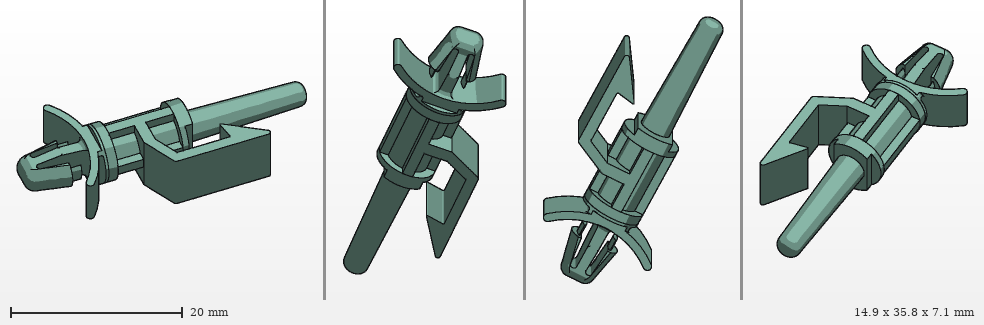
import cadquery as cq
import math

JOINT_Y = 9.65
TOTAL_LENGTH = 35.75
COLLAR_RADIUS = 7.1 / 2

LOWER_COLLAR_TOP = 10.83
UPPER_COLLAR_BOTTOM = 19.0
UPPER_COLLAR_STEP = 19.75
UPPER_COLLAR_TOP = 20.73
FLAT_HALF_WIDTH = 2.25

CORE_RADIUS = 2.5
RIB_HALF_THICKNESS = 0.65
RIB_REACH = 3.5

ROD_BASE_RADIUS = 1.85
ROD_TIP_RADIUS = 1.5
ROD_DOME_RADIUS = 1.0

ARM_HALF_WIDTH = COLLAR_RADIUS
ARM_ROOT_BOTTOM = 14.05
ARM_ROOT_TOP = 15.48
ARM_BEND_X = 3.57
ARM_INNER_X = 6.55
ARM_OUTER_X = 7.85
ARM_RISE = math.tan(math.radians(27.2))
ARM_ELBOW_RADIUS = 0.43
HOOK_POINT = (4.07, 23.25)
HOOK_UNDERSIDE_RISE = math.tan(math.radians(10.8))
HOOK_RAMP_RISE = math.tan(math.radians(57.0))
HOOK_TOP_RADIUS = 0.32
HOOK_POINT_RADIUS = 0.1
HOOK_CORNER_RADIUS = 0.15

DISC_BOTTOM = 9.3
SADDLE_HALF_WIDTH = 5.55 / 2
SADDLE_THICKNESS = 1.0
SADDLE_UNDERSIDE = 8.0
SADDLE_APEX = SADDLE_UNDERSIDE + SADDLE_THICKNESS / 2
SADDLE_END = (6.55, 6.08)
NECK_HALF_WIDTH = 2.65
NECK_FILLET = 0.2

STEM_TOP_HALF = 0.75
STEM_BOTTOM_HALF = 1.18 / 2
STEM_TOP_RADIUS = 2.1
STEM_MID_RADIUS = 2.3
STEM_MID_Y = 5.3
STEM_FILLET = 0.55
STEM_JOINT_BAND = 0.1

CLIP_HALF_WIDTH = 3.6 / 2
STEM_FLAT_BOTTOM = 2.1
FINGER_TOP = 5.33
FINGER_CORNER_X = 1.95 / 2
FINGER_BULGE = 0.9
FINGER_LEAN = math.tan(math.radians(12.0))
CLIP_DOME_RADIUS = 2.07
CLIP_TIP_FILLET = 1.07
SLOT_BOTTOM = 1.65
SLOT_BOTTOM_OUTER_X = 1.35
SLOT_OUTER_LEAN = math.tan(math.radians(5.8))
SLOT_FILLET = 0.35
POST_TOP = 6.75
POST_INNER_X = 1.7
POST_EDGE_X = 2.05
POST_OUTER_X = 2.3
POST_HALF_WIDTH = 1.18


def disc(radius, bottom, top):
    """Round plate on the Y axis between two heights."""
    return cq.Workplane("XZ", origin=(0, bottom, 0)).circle(radius).extrude(bottom - top)


def block(half_x, bottom, top, half_z):
    """Box centred on the Y axis between two heights."""
    return cq.Workplane("XY").box(2 * half_x, top - bottom, 2 * half_z).translate((0, (bottom + top) / 2, 0))


def plate(outline, half_width):
    """XY outline extruded equally to both sides of Z = 0."""
    return outline.extrude(half_width, both=True)


def mirrored_pair(shape):
    """A shape joined with its mirror image across X = 0."""
    return shape.union(shape.mirror("YZ"))


def ribbed_core():
    """Round core with two ribs to the sides and two to the faces."""
    core = disc(CORE_RADIUS, LOWER_COLLAR_TOP, UPPER_COLLAR_BOTTOM)
    side_ribs = block(RIB_REACH, LOWER_COLLAR_TOP, UPPER_COLLAR_BOTTOM, RIB_HALF_THICKNESS)
    face_ribs = block(RIB_HALF_THICKNESS, LOWER_COLLAR_TOP, UPPER_COLLAR_BOTTOM, ARM_HALF_WIDTH)
    return core.union(side_ribs).union(face_ribs)


def upper_collar():
    """Collar whose upper part has a flat on each X side."""
    lower = disc(COLLAR_RADIUS, UPPER_COLLAR_BOTTOM, UPPER_COLLAR_STEP)
    upper = disc(COLLAR_RADIUS, UPPER_COLLAR_STEP, UPPER_COLLAR_TOP)
    flats = block(FLAT_HALF_WIDTH, UPPER_COLLAR_STEP, UPPER_COLLAR_TOP, COLLAR_RADIUS)
    return lower.union(upper.intersect(flats))


def tapered_rod():
    """Slightly conical rod with a rounded end."""
    dome_y = TOTAL_LENGTH - ROD_DOME_RADIUS
    dome_flat = ROD_TIP_RADIUS - ROD_DOME_RADIUS
    diagonal = ROD_DOME_RADIUS * math.sqrt(0.5)
    return (
        cq.Workplane("XY")
        .moveTo(0, UPPER_COLLAR_TOP)
        .lineTo(ROD_BASE_RADIUS, UPPER_COLLAR_TOP)
        .lineTo(ROD_TIP_RADIUS, dome_y)
        .threePointArc((dome_flat + diagonal, dome_y + diagonal), (dome_flat, TOTAL_LENGTH))
        .lineTo(0, TOTAL_LENGTH)
        .close()
        .revolve(360, (0, 0, 0), (0, 1, 0))
    )


def hook_arm():
    """Cranked arm that ends in a barbed hook pointing back at the rod."""
    point_x, point_y = HOOK_POINT
    elbow = (ARM_OUTER_X, ARM_ROOT_BOTTOM + ARM_RISE * (ARM_OUTER_X - ARM_BEND_X))
    hook_top = (ARM_OUTER_X, point_y + HOOK_RAMP_RISE * (ARM_OUTER_X - point_x))
    hook_corner = (ARM_INNER_X, point_y + HOOK_UNDERSIDE_RISE * (ARM_INNER_X - point_x))
    inner_elbow = (ARM_INNER_X, ARM_ROOT_TOP + ARM_RISE * (ARM_INNER_X - ARM_BEND_X))
    outline = cq.Workplane("XY").polyline([
        (0, ARM_ROOT_BOTTOM),
        (ARM_BEND_X, ARM_ROOT_BOTTOM),
        elbow,
        hook_top,
        HOOK_POINT,
        hook_corner,
        inner_elbow,
        (ARM_BEND_X, ARM_ROOT_TOP),
        (0, ARM_ROOT_TOP),
    ]).close()
    arm = plate(outline, ARM_HALF_WIDTH)
    rounded_corners = [
        (elbow, ARM_ELBOW_RADIUS),
        (hook_top, HOOK_TOP_RADIUS),
        (HOOK_POINT, HOOK_POINT_RADIUS),
        (hook_corner, HOOK_CORNER_RADIUS),
    ]
    for corner, radius in rounded_corners:
        arm = arm.edges(cq.selectors.NearestToPointSelector((*corner, 0))).fillet(radius)
    return arm


def make_standoff():
    lower_collar = disc(COLLAR_RADIUS, JOINT_Y, LOWER_COLLAR_TOP)
    return lower_collar.union(ribbed_core()).union(upper_collar()).union(tapered_rod()).union(hook_arm())


def bow_radius():
    """Radius of the saddle's middle line through its apex and both end centres."""
    end_x, end_y = SADDLE_END
    sag = SADDLE_APEX - end_y
    return (end_x**2 + sag**2) / (2 * sag)


def bowed_saddle():
    """Constant-thickness arc with fully rounded ends."""
    end_x, end_y = SADDLE_END
    half = SADDLE_THICKNESS / 2
    radius = bow_radius()
    centre_y = SADDLE_APEX - radius
    out_x = end_x / radius
    out_y = (end_y - centre_y) / radius
    outer = (end_x + half * out_x, end_y + half * out_y)
    inner = (end_x - half * out_x, end_y - half * out_y)
    nose = (end_x + half * out_y, end_y - half * out_x)
    outline = (
        cq.Workplane("XY")
        .moveTo(-outer[0], outer[1])
        .threePointArc((0, SADDLE_APEX + half), outer)
        .threePointArc(nose, inner)
        .threePointArc((0, SADDLE_APEX - half), (-inner[0], inner[1]))
        .threePointArc((-nose[0], nose[1]), (-outer[0], outer[1]))
        .close()
    )
    return plate(outline, SADDLE_HALF_WIDTH)


def disc_and_neck():
    """Joint disc with a filleted neck that runs down into the saddle."""
    neck = block(NECK_HALF_WIDTH, SADDLE_APEX, DISC_BOTTOM, SADDLE_HALF_WIDTH)
    head = block(COLLAR_RADIUS, DISC_BOTTOM, JOINT_Y, SADDLE_HALF_WIDTH)
    filleted = bowed_saddle().union(neck).union(head)
    outer_radius = bow_radius() + SADDLE_THICKNESS / 2
    drop = outer_radius - math.sqrt(outer_radius**2 - NECK_HALF_WIDTH**2)
    neck_bottom = SADDLE_APEX + SADDLE_THICKNESS / 2 - drop
    for side in (-1, 1):
        for y in (DISC_BOTTOM, neck_bottom):
            corner = cq.selectors.NearestToPointSelector((side * NECK_HALF_WIDTH, y, 0))
            filleted = filleted.edges(corner).fillet(NECK_FILLET)
    round_top = filleted.intersect(disc(COLLAR_RADIUS, SADDLE_APEX, JOINT_Y))
    return bowed_saddle().union(round_top).union(disc(COLLAR_RADIUS, DISC_BOTTOM, JOINT_Y))


def stem():
    """Tapered blade with conical ends above and sloping flats below."""
    cone_rate = (STEM_MID_RADIUS - STEM_TOP_RADIUS) / (SADDLE_APEX - STEM_MID_Y)
    bottom_radius = STEM_MID_RADIUS + cone_rate * (STEM_MID_Y - SLOT_BOTTOM)
    cone = (
        cq.Workplane("XY")
        .polyline([
            (0, SLOT_BOTTOM),
            (bottom_radius, SLOT_BOTTOM),
            (STEM_TOP_RADIUS, SADDLE_APEX),
            (0, SADDLE_APEX),
        ])
        .close()
        .revolve(360, (0, 0, 0), (0, 1, 0))
    )
    blade = plate(
        cq.Workplane("XY").polyline([
            (-STEM_BOTTOM_HALF, SLOT_BOTTOM),
            (STEM_BOTTOM_HALF, SLOT_BOTTOM),
            (STEM_TOP_HALF, SADDLE_APEX),
            (-STEM_TOP_HALF, SADDLE_APEX),
        ]).close(),
        SADDLE_HALF_WIDTH,
    )
    flat_rate = (STEM_MID_RADIUS - CLIP_HALF_WIDTH) / (STEM_MID_Y - STEM_FLAT_BOTTOM)
    flat_top = STEM_MID_RADIUS + flat_rate * (SADDLE_APEX - STEM_MID_Y)
    side = cq.Workplane("YZ").polyline([
        (SLOT_BOTTOM, -CLIP_HALF_WIDTH),
        (STEM_FLAT_BOTTOM, -CLIP_HALF_WIDTH),
        (SADDLE_APEX, -flat_top),
        (SADDLE_APEX, flat_top),
        (STEM_FLAT_BOTTOM, CLIP_HALF_WIDTH),
        (SLOT_BOTTOM, CLIP_HALF_WIDTH),
    ]).close()
    return blade.intersect(cone).intersect(side.extrude(COLLAR_RADIUS, both=True))


def saddle_with_stem():
    """Saddle and stem, filleted all round where the stem leaves the saddle."""
    joined = disc_and_neck().union(stem())
    reach = cq.selectors.BoxSelector(
        (-STEM_MID_RADIUS / 2, SADDLE_UNDERSIDE - STEM_JOINT_BAND, -STEM_MID_RADIUS),
        (STEM_MID_RADIUS / 2, SADDLE_UNDERSIDE + STEM_JOINT_BAND, STEM_MID_RADIUS),
    )
    return joined.edges(reach).fillet(STEM_FILLET)


def clip_wire(y, x):
    """Cross-section of the clip head at one height: flat Z sides and bulging X ends."""
    half = CLIP_HALF_WIDTH
    bulge_x = x + FINGER_BULGE
    edges = [
        cq.Edge.makeLine(cq.Vector(-x, y, half), cq.Vector(x, y, half)),
        cq.Edge.makeThreePointArc(cq.Vector(x, y, half), cq.Vector(bulge_x, y, 0), cq.Vector(x, y, -half)),
        cq.Edge.makeLine(cq.Vector(x, y, -half), cq.Vector(-x, y, -half)),
        cq.Edge.makeThreePointArc(cq.Vector(-x, y, -half), cq.Vector(-bulge_x, y, 0), cq.Vector(-x, y, half)),
    ]
    return cq.Wire.assembleEdges(edges)


def finger_slot():
    """Tapered gap between the stem and the right-hand finger, rounded at its bottom."""
    height = SADDLE_APEX - SLOT_BOTTOM
    outline = cq.Workplane("XY").polyline([
        (STEM_BOTTOM_HALF, SLOT_BOTTOM),
        (SLOT_BOTTOM_OUTER_X, SLOT_BOTTOM),
        (SLOT_BOTTOM_OUTER_X + SLOT_OUTER_LEAN * height, SADDLE_APEX),
        (STEM_TOP_HALF, SADDLE_APEX),
    ]).close()
    return plate(outline, COLLAR_RADIUS).edges("|Z and <Y").fillet(SLOT_FILLET)


def finger_post():
    """Small post with a lens-shaped section standing on the right-hand finger."""
    return (
        cq.Workplane("XZ", origin=(0, FINGER_TOP, 0))
        .moveTo(POST_EDGE_X, -POST_HALF_WIDTH)
        .threePointArc((POST_OUTER_X, 0), (POST_EDGE_X, POST_HALF_WIDTH))
        .threePointArc((POST_INNER_X, 0), (POST_EDGE_X, -POST_HALF_WIDTH))
        .close()
        .extrude(FINGER_TOP - POST_TOP)
    )


def clip_dome():
    """Prism along X whose -Y side is a circular arc; it rounds the clip's tip."""
    drop = CLIP_DOME_RADIUS - math.sqrt(CLIP_DOME_RADIUS**2 - CLIP_HALF_WIDTH**2)
    return (
        cq.Workplane("YZ")
        .moveTo(FINGER_TOP, -CLIP_HALF_WIDTH)
        .lineTo(drop, -CLIP_HALF_WIDTH)
        .threePointArc((0, 0), (drop, CLIP_HALF_WIDTH))
        .lineTo(FINGER_TOP, CLIP_HALF_WIDTH)
        .close()
        .extrude(COLLAR_RADIUS, both=True)
    )


def snap_fingers():
    """Domed clip head split by two slots into fingers, each carrying a post."""
    top_corner_x = FINGER_CORNER_X + FINGER_LEAN * FINGER_TOP
    lower_wire = clip_wire(0, FINGER_CORNER_X)
    upper_wire = clip_wire(FINGER_TOP, top_corner_x)
    head = cq.Workplane("XY").newObject([cq.Solid.makeLoft([lower_wire, upper_wire], True)])
    head = head.intersect(clip_dome()).faces("<Y").edges().fillet(CLIP_TIP_FILLET)
    return head.cut(mirrored_pair(finger_slot())).union(mirrored_pair(finger_post()))


def make_saddle_clip():
    return saddle_with_stem().union(snap_fingers())


standoff = make_standoff()
saddle_clip = make_saddle_clip()

result = cq.Compound.makeCompound([standoff.solids().val(), saddle_clip.solids().val()])